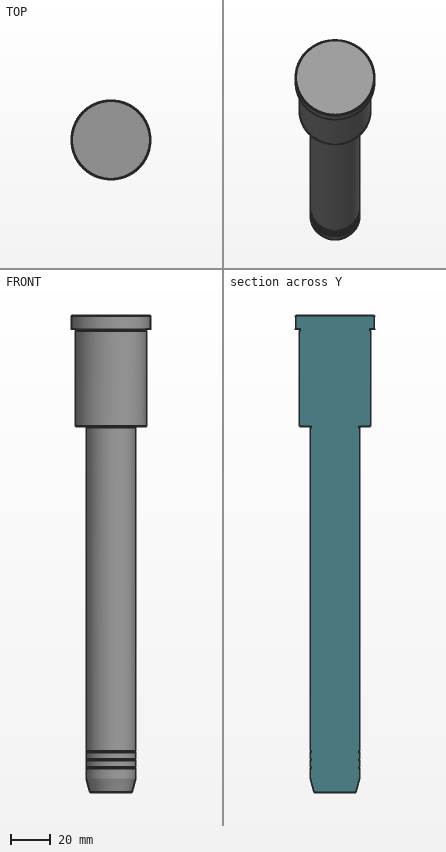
import cadquery as cq
import math

total_length = 240.0

head_diameter = 40.0
head_height = 7.0
head_chamfer = 0.5

shoulder_diameter = 36.0
shoulder_end_from_top = 56.0
shoulder_chamfer = 0.5
relief_width = 1.0
relief_depth = 0.5

pin_diameter = 25.0
tip_taper_height = 7.0
tip_taper_angle = 15.0
tip_chamfer = 0.5


neck_width = 0.5
neck_depth = 0.5

groove_count = 3
groove_pitch = 4.0
groove_width = 1.0
groove_depth = 0.5
lowest_groove_center = 12.5

head_radius = head_diameter / 2
shoulder_radius = shoulder_diameter / 2
pin_radius = pin_diameter / 2
tip_radius = pin_radius - tip_taper_height * math.tan(math.radians(tip_taper_angle))
head_bottom = total_length - head_height
shoulder_bottom = total_length - shoulder_end_from_top


def cylinder(radius, bottom, top):
    """Solid cylinder on the Z axis between two heights."""
    return cq.Workplane("XY").workplane(offset=bottom).circle(radius).extrude(top - bottom)


def revolve_outline(outline):
    """Revolve a closed sketch of radius and height around the Z axis."""
    return outline.close().revolve(360, (0, 0, 0), (0, 1, 0))


def make_head():
    """Head flange with a chamfered top rim."""
    head = cylinder(head_radius, head_bottom, total_length)
    return head.faces(">Z").edges().chamfer(head_chamfer)


def make_shoulder():
    """Shoulder with a chamfered lower rim and a relief groove whose lower wall slopes at 45 degrees."""
    floor_radius = shoulder_radius - relief_depth
    relief_bottom = head_bottom - relief_width
    outline = cq.Workplane("XZ").polyline([
        (0, shoulder_bottom),
        (shoulder_radius - shoulder_chamfer, shoulder_bottom),
        (shoulder_radius, shoulder_bottom + shoulder_chamfer),
        (shoulder_radius, relief_bottom),
        (floor_radius, relief_bottom + relief_depth),
        (floor_radius, head_bottom),
        (0, head_bottom),
    ])
    return revolve_outline(outline)


def make_groove_ring(height):
    """V-section ring that cuts one groove into the pin surface at the given height."""
    outline = cq.Workplane("XZ").polyline([
        (pin_radius, height - groove_width / 2),
        (pin_radius, height + groove_width / 2),
        (pin_radius - groove_depth, height),
    ])
    return revolve_outline(outline)


def make_pin():
    """Pin with a tapered tip, V-grooves near the tip and a narrow neck under the shoulder."""
    neck_radius = pin_radius - neck_depth
    neck_bottom = shoulder_bottom - neck_width
    outline = cq.Workplane("XZ").polyline([
        (0, 0),
        (tip_radius, 0),
        (pin_radius, tip_taper_height),
        (pin_radius, neck_bottom),
        (neck_radius, neck_bottom),
        (neck_radius, shoulder_bottom),
        (0, shoulder_bottom),
    ])
    pin = revolve_outline(outline)
    pin = pin.faces("<Z").edges().chamfer(tip_chamfer)
    for index in range(groove_count):
        pin = pin.cut(make_groove_ring(lowest_groove_center + index * groove_pitch))
    return pin


result = make_pin().union(make_shoulder()).union(make_head())